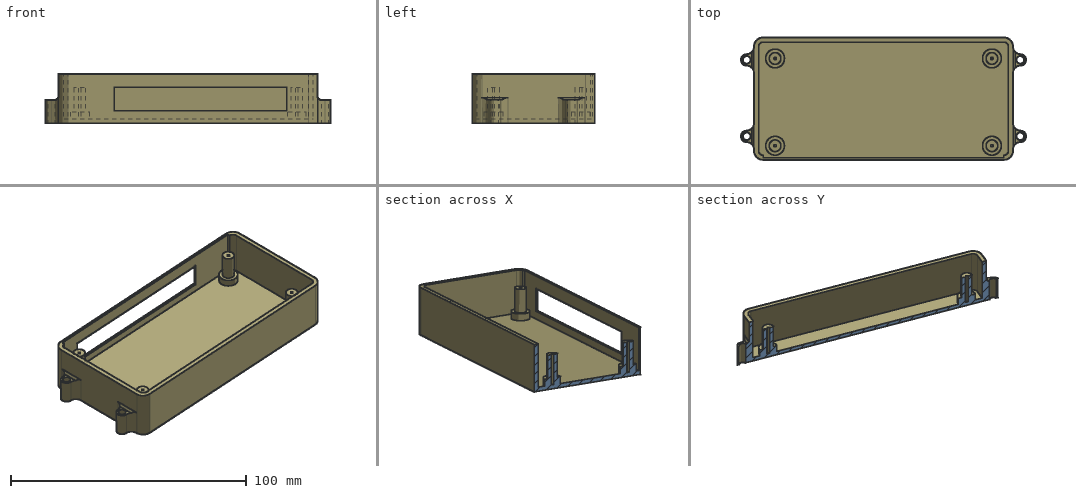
import cadquery as cq
import math

ear_reach = 60.5
ear_radius = 5.0 / 2
ear_gap = 3.0
ear_x = ear_reach - ear_radius
tray_length = 2 * (ear_x - ear_gap)
tray_width = 52.0
tray_height = 21.0
corner_radius = 4.0
front_wall = 1.0
wall = 2 * front_wall
floor = wall
inner_radius = corner_radius - wall

window_left = -31.3
window_right = 41.9
window_bottom = 5.5
window_top = 15.4

post_x = 46.0
post_rows = (-20.0, 17.0)
base_diameter = 8.0
base_height = 3.0
post_diameter = 5.0
post_height = 10.4
pilot_diameter = 1.0

ear_rows = (-16.0, 16.5)
ear_height = 10.0
ear_chamfer = 1.0
ear_hole_diameter = 3.1


def make_tray():
    """Open box with a thinner front wall between its rounded corners."""
    body = cq.Workplane("XY").rect(tray_length, tray_width).extrude(tray_height)
    body = body.edges("|Z").fillet(corner_radius)
    cavity_height = tray_height - floor
    cavity = (
        cq.Workplane("XY", origin=(0, 0, floor))
        .rect(tray_length - 2 * wall, tray_width - 2 * wall)
        .extrude(cavity_height)
        .edges("|Z")
        .fillet(inner_radius)
    )
    recess_length = tray_length - 2 * corner_radius
    recess = cq.Workplane("XY").box(
        recess_length, tray_width / 2 - front_wall, cavity_height, centered=(True, False, False)
    ).translate((0, front_wall - tray_width / 2, floor))
    return body.cut(cavity).cut(recess)


def make_window():
    """Cutter for the rectangular front opening."""
    return cq.Workplane("XY").box(
        window_right - window_left, 2 * wall, window_top - window_bottom, centered=(False, True, False)
    ).translate((window_left, -tray_width / 2, window_bottom))


def make_post(x, y):
    """Post on a wider base, with a pilot hole down to the floor surface."""
    base = cq.Workplane("XY", origin=(x, y, floor)).circle(base_diameter / 2).extrude(base_height)
    full_height = base_height + post_height
    post = cq.Workplane("XY", origin=(x, y, floor)).circle(post_diameter / 2).extrude(full_height)
    pilot = cq.Workplane("XY", origin=(x, y, floor)).circle(pilot_diameter / 2).extrude(full_height)
    return base.union(post).cut(pilot)


def make_ear(y):
    """Ear on the +X end, flared into the wall and chamfered along its top joint."""
    wall_x = tray_length / 2
    root_x = wall_x - wall / 2
    flare = ear_gap
    half_root = ear_radius + flare
    diagonal = flare * math.sqrt(0.5)
    outline = (
        cq.Workplane("XY")
        .moveTo(root_x, -half_root)
        .lineTo(wall_x, -half_root)
        .threePointArc((ear_x - diagonal, diagonal - half_root), (ear_x, -ear_radius))
        .threePointArc((ear_reach, 0), (ear_x, ear_radius))
        .threePointArc((ear_x - diagonal, half_root - diagonal), (wall_x, half_root))
        .lineTo(root_x, half_root)
        .close()
        .extrude(ear_height + ear_chamfer)
    )
    side_profile = (
        cq.Workplane("XZ")
        .moveTo(root_x, 0)
        .lineTo(ear_reach, 0)
        .lineTo(ear_reach, ear_height)
        .lineTo(wall_x + ear_chamfer, ear_height)
        .lineTo(wall_x, ear_height + ear_chamfer)
        .lineTo(root_x, ear_height + ear_chamfer)
        .close()
        .extrude(half_root, both=True)
    )
    hole = (
        cq.Workplane("XY", origin=(ear_x, 0, 0))
        .circle(ear_hole_diameter / 2)
        .extrude(ear_height + ear_chamfer)
    )
    return outline.intersect(side_profile).cut(hole).translate((0, y, 0))


result = make_tray().cut(make_window())
for row in post_rows:
    for side in (-1, 1):
        result = result.union(make_post(side * post_x, row))
for row in ear_rows:
    ear = make_ear(row)
    result = result.union(ear).union(ear.mirror("YZ"))